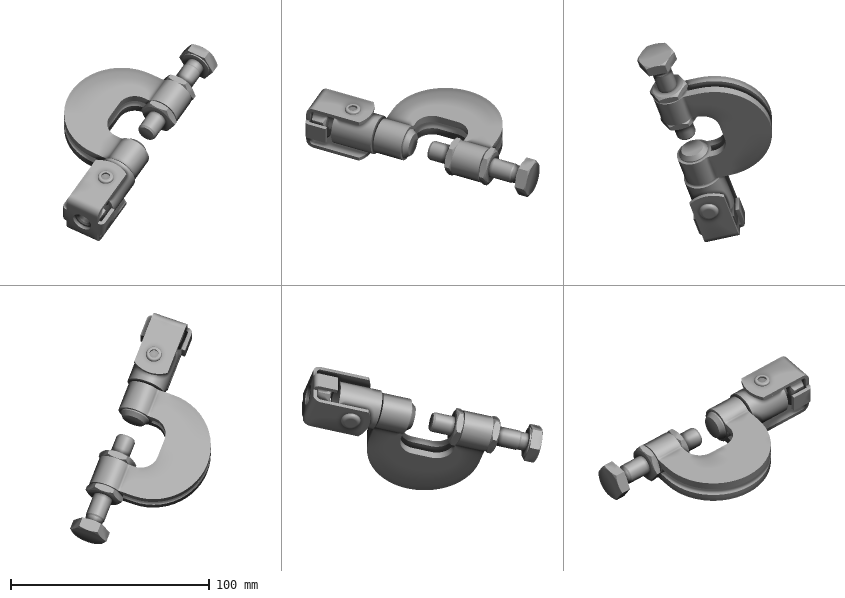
import cadquery as cq
import math


frame_half_height = 29.0
eye_length = 15.0
eye_diameter = 18.0
plate_thickness = 4.0
plate_gap = 4.0
back_centre_x = -14.9
throat_x = -19.0
throat_corner_radius = 9.0
eye_fillet = 2.0
throat_half_height = frame_half_height - eye_length
plate_outer_z = plate_gap / 2 + plate_thickness

hex_flats = 17.0
hex_corners = hex_flats / math.cos(math.radians(30))
hex_chamfer_angle = 30
nut_face_diameter = 16.0
lock_nut_height = 4.0
bolt_diameter = 10.0
bolt_neck_diameter = 9.2
bolt_head_top = 55.2
bolt_head_height = 5.7
bolt_head_face_diameter = 17.0
bolt_washer_diameter = 15.4
bolt_washer_height = 0.6
bolt_neck_end = 45.3
bolt_neck_taper = 0.7
bolt_tip = -1.1
bolt_tip_chamfer = 1.1
bolt_tip_diameter = 8.7

stud_head_diameter = 15.0
stud_head_top_diameter = 11.7
stud_head_rim = 0.6
stud_head_height = 2.9
stud_neck_diameter = 9.0
cup_diameter = 20.0
cup_bore = 16.0
cup_top = -30.0
cup_length = 22.0
cup_floor = (cup_diameter - cup_bore) / 2

strap_thickness = 2.0
strap_width = 18.0
strap_height = 24.9
strap_bend_radius = 4.0
strap_bottom = -66.2
strap_tip = -34.0
strap_tip_rise = 2.9
tab_span = 24.0
tab_width = 9.0
tab_height = 12.0
tab_bend_radius = 2.4
bracket_hole = 10.5

rivet_x = 1.0
rivet_y = -44.0
rivet_diameter = 4.5
rivet_head_diameter = 10.0
rivet_head_height = 2.1
rivet_head_round = 2.0
rivet_rim_diameter = 8.0
rivet_rim_height = 1.1
rivet_rim_round = 1.0

bracket_nut_height = 8.0
bracket_nut_bore = 6.7
bracket_nut_countersink = 8.3
bracket_nut_turn = 30


def rod(diameter, y_low, y_high):
    """Cylinder on the Y axis."""
    return cq.Workplane("XZ", origin=(0, y_high, 0)).circle(diameter / 2).extrude(y_high - y_low)


def cone(low_diameter, high_diameter, y_low, y_high):
    """Truncated cone on the Y axis."""
    outline = [(0, y_low), (low_diameter / 2, y_low), (high_diameter / 2, y_high), (0, y_high)]
    return cq.Workplane("XY").polyline(outline).close().revolve(360, (0, 0, 0), (0, 1, 0))


def hexagon(y_low, y_high):
    """Hexagonal prism on the Y axis with two corners on the X axis."""
    return cq.Workplane("XZ", origin=(0, y_high, 0)).polygon(6, hex_corners).extrude(y_high - y_low)


def bolt_head(y_low, y_high):
    """Hexagon head whose top corners are cut back by a cone."""
    spread = 2 * (y_high - y_low) / math.tan(math.radians(hex_chamfer_angle))
    top_cone = cone(bolt_head_face_diameter + spread, bolt_head_face_diameter, y_low, y_high)
    return hexagon(y_low, y_high).intersect(top_cone)


def nut(y_low, y_high):
    """Hexagon nut blank whose corners are cut back by a cone at both faces."""
    spread = 2 * (y_high - y_low) / math.tan(math.radians(hex_chamfer_angle))
    top_cone = cone(nut_face_diameter + spread, nut_face_diameter, y_low, y_high)
    bottom_cone = cone(nut_face_diameter, nut_face_diameter + spread, y_low, y_high)
    return hexagon(y_low, y_high).intersect(top_cone).intersect(bottom_cone)


def gap_slab():
    """Slab that fills the gap between the plates and reaches well past the whole frame."""
    slab_side = 4 * frame_half_height
    return cq.Workplane("XY").box(slab_side, slab_side, plate_gap)


def c_plates():
    """Two C-shaped plates, stacked with a gap, that end at the axis of the eyes."""
    back = (
        cq.Workplane("XY", origin=(0, 0, -plate_outer_z))
        .moveTo(0, frame_half_height)
        .lineTo(back_centre_x, frame_half_height)
        .threePointArc((back_centre_x - frame_half_height, 0), (back_centre_x, -frame_half_height))
        .lineTo(0, -frame_half_height)
        .close()
        .extrude(2 * plate_outer_z)
    )
    throat_depth = eye_diameter - throat_x
    throat = (
        cq.Workplane("XY")
        .box(throat_depth, 2 * throat_half_height, 2 * plate_outer_z)
        .edges("|Z and <X")
        .fillet(throat_corner_radius)
        .translate((throat_x + throat_depth / 2, 0, 0))
    )
    return back.cut(throat).cut(gap_slab())


def eye_fillets(y_low, y_high):
    """Concave fillets where the outer faces of the plates run into an eye."""
    eye_radius = eye_diameter / 2
    centre_z = plate_outer_z + eye_fillet
    centre_x = -math.sqrt((eye_radius + eye_fillet) ** 2 - centre_z**2)
    wedge = (
        cq.Workplane("XZ", origin=(0, y_high, 0))
        .polyline([(centre_x, 0), (centre_x, centre_z), (0, 0)])
        .close()
        .extrude(y_high - y_low)
    )
    round_cut = (
        cq.Workplane("XZ", origin=(centre_x, y_high, centre_z)).circle(eye_fillet).extrude(y_high - y_low)
    )
    upper = wedge.cut(round_cut).cut(gap_slab())
    return upper.union(upper.mirror("XY"))


def frame():
    body = c_plates()
    for y_low in (throat_half_height, -frame_half_height):
        y_high = y_low + eye_length
        body = body.union(rod(eye_diameter, y_low, y_high))
        body = body.union(eye_fillets(y_low, y_high))
    return body.cut(rod(stud_neck_diameter, -frame_half_height, -throat_half_height))


def set_bolt():
    head_bottom = bolt_head_top - bolt_head_height
    washer_bottom = head_bottom - bolt_washer_height
    shank_top = bolt_neck_end - bolt_neck_taper
    shank_bottom = bolt_tip + bolt_tip_chamfer
    return (
        bolt_head(head_bottom, bolt_head_top)
        .union(rod(bolt_washer_diameter, washer_bottom, head_bottom))
        .union(rod(bolt_neck_diameter, bolt_neck_end, washer_bottom))
        .union(cone(bolt_diameter, bolt_neck_diameter, shank_top, bolt_neck_end))
        .union(rod(bolt_diameter, shank_bottom, shank_top))
        .union(cone(bolt_tip_diameter, bolt_diameter, bolt_tip, shank_bottom))
    )


def clamp():
    body = frame().union(set_bolt())
    for y_low in (frame_half_height, throat_half_height - lock_nut_height):
        body = body.union(nut(y_low, y_low + lock_nut_height))
    return body


def swivel_stud():
    head_bottom = -throat_half_height
    rim_top = head_bottom + stud_head_rim
    cup_bottom = cup_top - cup_length
    return (
        cone(stud_head_diameter, stud_head_top_diameter, rim_top, head_bottom + stud_head_height)
        .union(rod(stud_head_diameter, head_bottom, rim_top))
        .union(rod(stud_neck_diameter, cup_top, head_bottom))
        .union(rod(cup_diameter, cup_bottom, cup_top))
        .cut(rod(cup_bore, cup_bottom, cup_top - cup_floor))
    )


def bent_strip(width, y_top, bend_radius):
    """Sheet bent to a U that opens toward +Y, its arms spread along X and its depth along Z."""
    height = y_top - strap_bottom

    def block(inset, radius):
        return (
            cq.Workplane("XY")
            .box(width - 2 * inset, height - inset, 2 * strap_height)
            .edges("|Z and <Y")
            .fillet(radius)
            .translate((0, y_top - (height - inset) / 2, 0))
        )

    return block(0, bend_radius).cut(block(strap_thickness, bend_radius - strap_thickness))


def strap():
    """U strap open toward +Y, its two arms above and below the cup and rounded at the tips."""
    tip_shoulder = strap_tip - strap_tip_rise
    half_width = strap_width / 2
    outline = (
        cq.Workplane("XY", origin=(0, 0, -strap_height))
        .moveTo(-half_width, strap_bottom)
        .lineTo(half_width, strap_bottom)
        .lineTo(half_width, tip_shoulder)
        .threePointArc((0, strap_tip), (-half_width, tip_shoulder))
        .close()
        .extrude(2 * strap_height)
    )
    section = bent_strip(strap_height, strap_tip, strap_bend_radius).rotate((0, 0, 0), (0, 1, 0), 90)
    return section.intersect(outline)


def side_tabs():
    """U strip across the strap that forms the two upturned tabs."""
    band_length = 4 * abs(strap_bottom)
    band = cq.Workplane("XY").box(band_length, band_length, tab_width)
    return bent_strip(tab_span, strap_bottom + tab_height, tab_bend_radius).intersect(band)


def rivet():
    """Rivet parallel to Z with a round head below and an open rolled rim above."""
    top = strap_height / 2
    centre = (rivet_x, rivet_y)
    shank = cq.Workplane("XY", origin=(*centre, -top)).circle(rivet_diameter / 2).extrude(strap_height)
    head = (
        cq.Workplane("XY", origin=(*centre, -top))
        .circle(rivet_head_diameter / 2)
        .extrude(-rivet_head_height)
        .faces("<Z")
        .edges()
        .fillet(rivet_head_round)
    )
    rim = (
        cq.Workplane("XY", origin=(*centre, top))
        .circle(rivet_rim_diameter / 2)
        .extrude(rivet_rim_height)
        .faces(">Z")
        .edges()
        .fillet(rivet_rim_round)
        .faces(">Z")
        .workplane()
        .hole(rivet_diameter, rivet_rim_height)
    )
    return shank.union(head).union(rim)


def bracket_nut():
    """Nut seated on the inside of the strap, turned so that its flats face the tabs."""
    y_low = strap_bottom + strap_thickness
    y_high = y_low + bracket_nut_height
    countersink_depth = (bracket_nut_countersink - bracket_nut_bore) / 2
    return (
        nut(y_low, y_high)
        .rotate((0, 0, 0), (0, 1, 0), bracket_nut_turn)
        .cut(rod(bracket_nut_bore, y_low, y_high))
        .cut(cone(bracket_nut_countersink, bracket_nut_bore, y_low, y_low + countersink_depth))
        .cut(cone(bracket_nut_bore, bracket_nut_countersink, y_high - countersink_depth, y_high))
    )


def hanger():
    bracket = strap().union(side_tabs()).cut(rod(bracket_hole, strap_bottom, strap_bottom + strap_thickness))
    return swivel_stud().union(bracket).union(rivet()).union(bracket_nut())


clamp_body = clamp()
hanger_body = hanger()

result = cq.Compound.makeCompound([clamp_body.solids().val(), hanger_body.solids().val()])